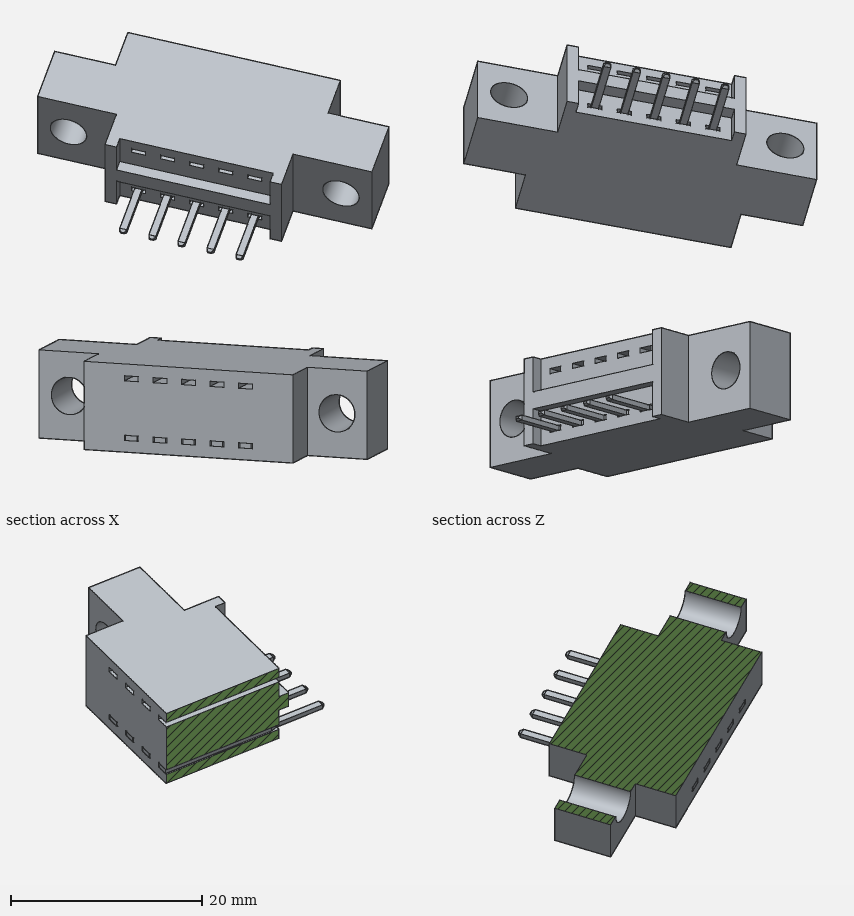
import cadquery as cq

FLANGE_SPAN = 36.45
HEIGHT = 9.4
DEPTH = 15.25
NOSE_WIDTH = 19.25
BACK_WIDTH = 23.2
FLANGE_FRONT = 4.25
FLANGE_THICKNESS = 6.38

MOUNT_HOLE_DIAMETER = 3.97
MOUNT_HOLE_SPACING = 29.7

RECESS_WIDTH = 16.73
RECESS_DEPTH = 1.2
RIB_HEIGHT = 1.85

CONTACT_COUNT = 5
CONTACT_PITCH = 3.17
ROW_OFFSET = CONTACT_PITCH
SLOT_WIDTH = 1.53
SLOT_HEIGHT = 0.55

CONTACT_THICKNESS = SLOT_HEIGHT
BLADE_WIDTH = 1.25
PIN_WIDTH = 0.75
PIN_REACH = 4.77
SHOULDER_INSET = 0.15
SHOULDER_LENGTH = 0.7
TIP_LENGTH = 0.33
TIP_WIDTH = 0.4
TIP_THICKNESS = 0.2

column_positions = [(i - (CONTACT_COUNT - 1) / 2) * CONTACT_PITCH for i in range(CONTACT_COUNT)]


def block(width, y_front, y_back, z_bottom, z_top):
    """Box centred on X between the given Y and Z limits."""
    return cq.Workplane("XY").box(
        width, y_back - y_front, z_top - z_bottom, centered=(True, False, False)
    ).translate((0, y_front, z_bottom))


def make_outer_block():
    """Stepped block: narrow nose, full-length flange and wide back."""
    half_height = HEIGHT / 2
    flange_back = FLANGE_FRONT + FLANGE_THICKNESS
    nose = block(NOSE_WIDTH, 0, FLANGE_FRONT, -half_height, half_height)
    flange = block(FLANGE_SPAN, FLANGE_FRONT, flange_back, -half_height, half_height)
    back = block(BACK_WIDTH, flange_back, DEPTH, -half_height, half_height)
    return nose.union(flange).union(back)


def make_mount_holes():
    """Two round cutters running the full depth, one in each flange."""
    centres = [(-MOUNT_HOLE_SPACING / 2, 0), (MOUNT_HOLE_SPACING / 2, 0)]
    return cq.Workplane("XZ").pushPoints(centres).circle(MOUNT_HOLE_DIAMETER / 2).extrude(-DEPTH)


def make_recesses():
    """Cutters for the front recesses, open at the top and bottom faces."""
    upper = block(RECESS_WIDTH, 0, RECESS_DEPTH, RIB_HEIGHT / 2, HEIGHT / 2)
    lower = block(RECESS_WIDTH, 0, RECESS_DEPTH, -HEIGHT / 2, -RIB_HEIGHT / 2)
    return upper.union(lower)


def make_slots():
    """Cutters for both rows of contact slots, running through to the back face."""
    centres = [(x, z) for z in (-ROW_OFFSET, ROW_OFFSET) for x in column_positions]
    return cq.Workplane("XZ").pushPoints(centres).rect(SLOT_WIDTH, SLOT_HEIGHT).extrude(-DEPTH)


def make_housing():
    return make_outer_block().cut(make_mount_holes()).cut(make_recesses()).cut(make_slots())


def make_contact(x):
    """Contact at the given X: blade, tapered shoulder, pin and pointed tip."""
    shoulder_front = RECESS_DEPTH + SHOULDER_INSET
    shoulder_back = shoulder_front + SHOULDER_LENGTH
    tip_base = TIP_LENGTH - PIN_REACH
    right_edge = [
        (PIN_WIDTH / 2, tip_base),
        (PIN_WIDTH / 2, shoulder_front),
        (BLADE_WIDTH / 2, shoulder_back),
        (BLADE_WIDTH / 2, DEPTH),
    ]
    left_edge = [(-half_width, y) for half_width, y in reversed(right_edge)]
    body = (
        cq.Workplane("XY")
        .polyline(right_edge + left_edge)
        .close()
        .extrude(CONTACT_THICKNESS / 2, both=True)
    )
    tip = (
        cq.Workplane("XZ", origin=(0, tip_base, 0))
        .rect(PIN_WIDTH, CONTACT_THICKNESS)
        .workplane(offset=TIP_LENGTH)
        .rect(TIP_WIDTH, TIP_THICKNESS)
        .loft(ruled=True)
    )
    return body.union(tip).translate((x, 0, -ROW_OFFSET))


housing = make_housing()
contacts = [make_contact(x) for x in column_positions]

result = cq.Compound.makeCompound([housing.val(), *[contact.val() for contact in contacts]])